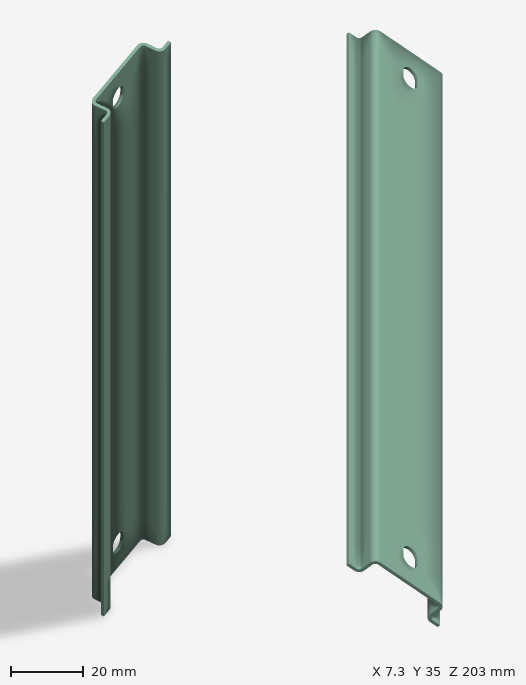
import cadquery as cq

length = 203.0
width = 35.0
depth = 7.3
thickness = 1.0
channel_width = 27.0
inner_radius = 1.0
outer_radius = inner_radius + thickness

slot_width = 5.5
slot_length = 7.1
slot_end_distance = 10.0


def make_section_half():
    """Half of the sheet section on the +Y side of the symmetry plane."""
    wall_outside = channel_width / 2
    wall_inside = wall_outside - thickness
    flange_front = depth - thickness
    edge = width / 2
    return (
        cq.Workplane("XY")
        .lineTo(0, wall_outside - outer_radius)
        .radiusArc((outer_radius, wall_outside), outer_radius)
        .lineTo(flange_front - inner_radius, wall_outside)
        .radiusArc((flange_front, wall_outside + inner_radius), -inner_radius)
        .lineTo(flange_front, edge)
        .lineTo(depth, edge)
        .lineTo(depth, wall_inside + outer_radius)
        .radiusArc((depth - outer_radius, wall_inside), outer_radius)
        .lineTo(outer_radius, wall_inside)
        .radiusArc((thickness, wall_outside - outer_radius), -inner_radius)
        .lineTo(thickness, 0)
        .close()
    )


def make_slots():
    """Slots through the web, long axis along the rail, one near each end."""
    return (
        cq.Workplane("YZ")
        .pushPoints([(0, slot_end_distance), (0, length - slot_end_distance)])
        .slot2D(slot_length, slot_width, 90)
        .extrude(thickness)
    )


half_rail = make_section_half().extrude(length)
rail = half_rail.union(half_rail.mirror("XZ")).clean()
result = rail.cut(make_slots())